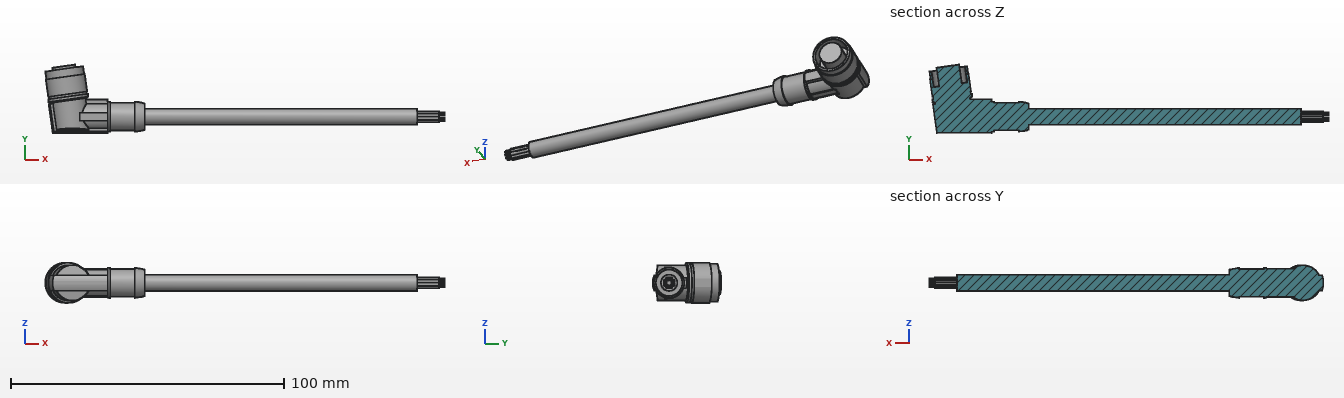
import cadquery as cq
import math


HEAD_TILT = 8.0
HEAD_RADIUS = 13.0 / 2
HEAD_RIDGE_Y = -5.1
HEAD_EDGE_Y = -4.2
BODY_TOP = 6.0
NUT_RADIUS = 14.8 / 2
RIM_START = 6.5
RIM_END = 7.5
NECK_RADIUS = 7.0
NUT_START = 8.3
NUT_END = 14.8
NUT_FLAT_HALF_WIDTH = 3.0 / 2
COLLAR_RADIUS = 7.0
COLLAR_END = 17.7
SOCKET_RADIUS = 6.1
SOCKET_DEPTH = 5.8
INSERT_RADIUS = 4.2
INSERT_END = 18.7

ARM_RADIUS = 10.1 / 2
KEEL_END = 13.5
SLEEVE_START = 14.3
SLEEVE_END = 23.4
TIP_END = 27.0
RING_RADIUS = 5.5
SLEEVE_RADIUS = 5.1
TIP_RADIUS = 4.8
TIP_BULGE = 0.1
PAD_HALF_WIDTH = 3.0 / 2
PAD_HEIGHT = 10.4 / 2
PAD_START = 3.2

KEEL_HALF_WIDTH = 5.7 / 2
KEEL_CREST_HALF_WIDTH = 0.66
ARM_KEEL_RADIUS = 12.1 / 2
HEAD_KEEL_RADIUS = 7.5
HEAD_KEEL_END = 5.7
INNER_KEEL_HALF_WIDTH = 1.9
INNER_KEEL_RADIUS = 6.5

OVERALL_LENGTH = 146.2
TILT_ANGLE = math.radians(HEAD_TILT)
HEAD_OVERHANG = COLLAR_END * math.sin(TILT_ANGLE) + COLLAR_RADIUS * math.cos(TILT_ANGLE)
OVERALL_END = OVERALL_LENGTH - HEAD_OVERHANG
CABLE_RADIUS = 6.0 / 2
CABLE_END = OVERALL_END - 10.1
INSULATION_END = OVERALL_END - 2.0
WIRE_COUNT = 8
WIRE_START_ANGLE = 180 / WIRE_COUNT
WIRE_CIRCLE_RADIUS = 3.0 / 2
WIRE_RADIUS = 0.63
STRAND_RADIUS = 0.3
WIRE_ROOT = 1.5

REACH = 43.9


def tilt(shape):
    """Turn a shape built along +Y onto the head axis."""
    return shape.rotate((0, 0, 0), (0, 0, 1), HEAD_TILT)


def rod(radius, start, end, y=0.0, z=0.0):
    """Cylinder parallel to X."""
    return cq.Workplane("YZ", origin=(start, y, z)).circle(radius).extrude(end - start)


def block(x_range, y_range, z_half):
    """Box symmetric about the XY plane."""
    return (
        cq.Workplane("XY", origin=(0, 0, -z_half))
        .moveTo(x_range[0], y_range[0])
        .lineTo(x_range[1], y_range[0])
        .lineTo(x_range[1], y_range[1])
        .lineTo(x_range[0], y_range[1])
        .close()
        .extrude(2 * z_half)
    )


def chord_depth(radius, half_width):
    """Distance from the axis to a chord of the given half width."""
    return math.sqrt(radius**2 - half_width**2)


def keel_section(plane, radius, half_width, far_side):
    """Section with parallel sides, pointing to the negative side and continued to far_side.

    Its tip is an arc around the origin with a flat along the crest.
    """
    shoulder = chord_depth(radius, half_width)
    crest = chord_depth(radius, KEEL_CREST_HALF_WIDTH)
    middle_angle = (math.asin(half_width / radius) + math.asin(KEEL_CREST_HALF_WIDTH / radius)) / 2
    middle_depth = radius * math.cos(middle_angle)
    middle_width = radius * math.sin(middle_angle)
    return (
        cq.Workplane(plane)
        .moveTo(far_side, -half_width)
        .lineTo(-shoulder, -half_width)
        .threePointArc((-middle_depth, -middle_width), (-crest, -KEEL_CREST_HALF_WIDTH))
        .lineTo(-crest, KEEL_CREST_HALF_WIDTH)
        .threePointArc((-middle_depth, middle_width), (-shoulder, half_width))
        .lineTo(far_side, half_width)
        .close()
    )


def make_turned_head():
    """Body, rim, neck, nut and collar as one revolved shape along +Y."""
    return (
        cq.Workplane("XY")
        .moveTo(0, -REACH / 2)
        .lineTo(HEAD_RADIUS, -REACH / 2)
        .lineTo(HEAD_RADIUS, BODY_TOP)
        .lineTo(NUT_RADIUS, RIM_START)
        .lineTo(NUT_RADIUS, RIM_END)
        .lineTo(NECK_RADIUS, RIM_END)
        .lineTo(NECK_RADIUS, NUT_START)
        .lineTo(NUT_RADIUS, NUT_START)
        .lineTo(NUT_RADIUS, NUT_END)
        .lineTo(COLLAR_RADIUS, NUT_END)
        .lineTo(COLLAR_RADIUS, COLLAR_END)
        .lineTo(0, COLLAR_END)
        .close()
        .revolve(360, (0, 0, 0), (0, 1, 0))
    )


def cut_nut_flats(head):
    flat_depth = chord_depth(NUT_RADIUS, NUT_FLAT_HALF_WIDTH)
    for side in (-1, 1):
        x_range = (side * flat_depth, side * REACH)
        head = head.cut(block(x_range, (NUT_START, NUT_END), NUT_RADIUS))
    return head


def make_socket():
    """Annular space around the insert, open at the collar."""
    return (
        cq.Workplane("XZ", origin=(0, COLLAR_END, 0))
        .circle(SOCKET_RADIUS)
        .circle(INSERT_RADIUS)
        .extrude(SOCKET_DEPTH)
    )


def make_insert_tip():
    """Part of the insert that stands out of the collar."""
    insert_length = INSERT_END - COLLAR_END
    return cq.Workplane("XZ", origin=(0, INSERT_END, 0)).circle(INSERT_RADIUS).extrude(insert_length)


def make_space_below_head():
    """Everything beyond the two end flats of the head."""
    return (
        cq.Workplane("YZ")
        .moveTo(HEAD_RIDGE_Y, 0)
        .lineTo(HEAD_EDGE_Y, HEAD_RADIUS)
        .lineTo(-REACH, HEAD_RADIUS)
        .lineTo(-REACH, -HEAD_RADIUS)
        .lineTo(HEAD_EDGE_Y, -HEAD_RADIUS)
        .close()
        .extrude(REACH, both=True)
    )


def cut_pad_spaces(head):
    for side in (-1, 1):
        pad_space = (
            cq.Workplane("XY", origin=(0, 0, side * PAD_HEIGHT))
            .moveTo(PAD_START, -PAD_HALF_WIDTH)
            .lineTo(KEEL_END, -PAD_HALF_WIDTH)
            .lineTo(KEEL_END, PAD_HALF_WIDTH)
            .lineTo(PAD_START, PAD_HALF_WIDTH)
            .close()
            .extrude(side * HEAD_RADIUS)
        )
        head = head.cut(pad_space)
    return head


def make_head():
    head = cut_nut_flats(make_turned_head())
    head = tilt(head.cut(make_socket()).union(make_insert_tip()))
    return cut_pad_spaces(head.cut(make_space_below_head()))


def make_arm():
    tip_middle = ((SLEEVE_END + TIP_END) / 2, (RING_RADIUS + TIP_RADIUS) / 2 + TIP_BULGE)
    arm = (
        cq.Workplane("XY")
        .lineTo(0, ARM_RADIUS)
        .lineTo(KEEL_END, ARM_RADIUS)
        .lineTo(KEEL_END, RING_RADIUS)
        .lineTo(SLEEVE_START, RING_RADIUS)
        .lineTo(SLEEVE_START, SLEEVE_RADIUS)
        .lineTo(SLEEVE_END, SLEEVE_RADIUS)
        .lineTo(SLEEVE_END, RING_RADIUS)
        .threePointArc(tip_middle, (TIP_END, TIP_RADIUS))
        .lineTo(TIP_END, 0)
        .close()
        .revolve(360, (0, 0, 0), (1, 0, 0))
    )
    pads = block((0, KEEL_END), (-PAD_HALF_WIDTH, PAD_HALF_WIDTH), PAD_HEIGHT)
    return arm.union(pads)


def make_outer_keel():
    """Keel along the -Y side of the arm and the -X side of the head, mitred at the corner."""
    arm_section = keel_section("YZ", ARM_KEEL_RADIUS, KEEL_HALF_WIDTH, REACH)
    head_section = keel_section("XZ", HEAD_KEEL_RADIUS, KEEL_HALF_WIDTH, REACH)
    along_arm = arm_section.extrude(REACH, both=True)
    along_head = tilt(head_section.extrude(REACH, both=True))
    corner = along_arm.intersect(along_head)
    arm_side = block((-REACH, KEEL_END), (-REACH, 0), REACH)
    head_side = tilt(block((-REACH, 0), (-REACH, HEAD_KEEL_END), REACH))
    return corner.intersect(arm_side.union(head_side))


def make_inner_keel():
    """Keel on the +Y side of the arm, inside the elbow."""
    keel = keel_section("YZ", INNER_KEEL_RADIUS, INNER_KEEL_HALF_WIDTH, 0).extrude(KEEL_END)
    return keel.mirror("XZ")


def make_cable():
    cable = rod(CABLE_RADIUS, 0, CABLE_END)
    for index in range(WIRE_COUNT):
        angle = math.radians(WIRE_START_ANGLE + 360 * index / WIRE_COUNT)
        y = WIRE_CIRCLE_RADIUS * math.cos(angle)
        z = WIRE_CIRCLE_RADIUS * math.sin(angle)
        cable = cable.union(rod(WIRE_RADIUS, CABLE_END - WIRE_ROOT, INSULATION_END, y, z))
        cable = cable.union(rod(STRAND_RADIUS, CABLE_END - WIRE_ROOT, OVERALL_END, y, z))
    return cable


result = (
    make_head()
    .union(make_arm())
    .union(make_outer_keel())
    .union(make_inner_keel())
    .union(make_cable())
)